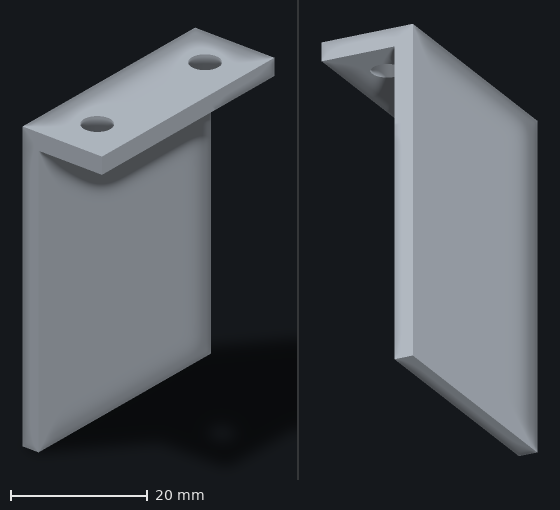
import cadquery as cq

flange_width = 15.0
length = 40.0
height = 53.0
thickness = 3.0

hole_diameter = 5.0
hole_spacing = 25.0
hole_offset = 8.0


def make_upright():
    """Tall plate with its outer face on X = 0."""
    return cq.Workplane("XY").box(thickness, length, height, centered=(False, True, False))


def make_flange():
    """Top flange, flush with the upper end of the upright plate."""
    return (
        cq.Workplane("XY", origin=(0, 0, height - thickness))
        .box(flange_width, length, thickness, centered=(False, True, False))
    )


def make_holes():
    """Pair of vertical cutters, symmetric about the middle of the length."""
    return (
        cq.Workplane("XY", origin=(hole_offset, 0, height - thickness))
        .pushPoints([(0, -hole_spacing / 2), (0, hole_spacing / 2)])
        .circle(hole_diameter / 2)
        .extrude(thickness)
    )


result = make_upright().union(make_flange()).cut(make_holes())